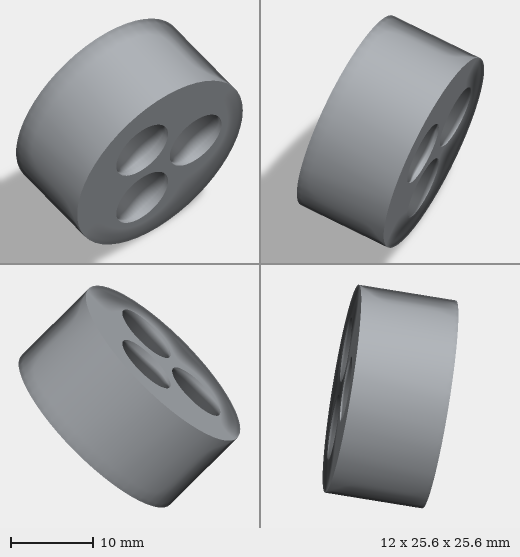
import cadquery as cq

disc_diameter = 25.6
disc_thickness = 12.0
hole_diameter = 8.0
hole_circle_radius = 5.5
hole_count = 3

disc = cq.Workplane("YZ").circle(disc_diameter / 2).extrude(disc_thickness)

holes = (
    cq.Workplane("YZ")
    .polarArray(hole_circle_radius, 0, 360, hole_count)
    .circle(hole_diameter / 2)
    .extrude(disc_thickness)
)

result = disc.cut(holes)